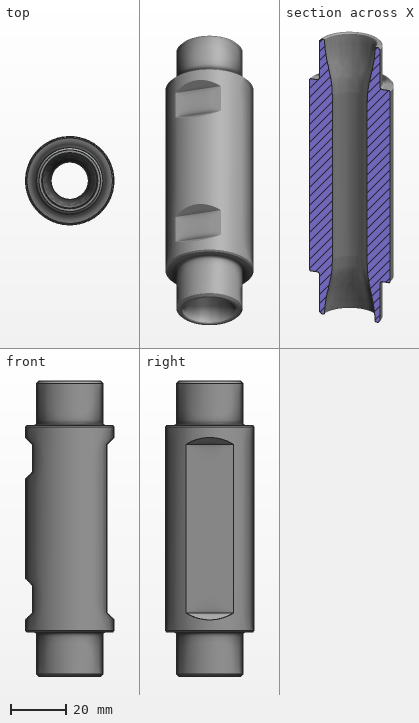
import cadquery as cq
import math

total_length = 107.0
body_diameter = 32.0
body_chamfer = 0.5
spigot_diameter = 24.0
spigot_length = 16.0
spigot_chamfer = 0.9
root_fillet = 0.9

throat_diameter = 13.5
mouth_diameter = 19.7
rim_chamfer = 0.3
flare_length = 21.4

flat_distance = 13.5
short_flat_length = 10.1
flat_inset = 23.0
cut_overrun = 1.1

half_length = total_length / 2
body_radius = body_diameter / 2
spigot_radius = spigot_diameter / 2
flat_end = half_length - flat_inset


def make_spigot():
    """Turn the top spigot, with its root fillet and chamfered rim."""
    shoulder = half_length - spigot_length
    fillet_middle = root_fillet * (1 - math.sqrt(0.5))
    return (
        cq.Workplane("XZ")
        .moveTo(0, shoulder)
        .lineTo(spigot_radius + root_fillet, shoulder)
        .threePointArc(
            (spigot_radius + fillet_middle, shoulder + fillet_middle),
            (spigot_radius, shoulder + root_fillet),
        )
        .lineTo(spigot_radius, half_length - spigot_chamfer)
        .lineTo(spigot_radius - spigot_chamfer, half_length)
        .lineTo(0, half_length)
        .close()
        .revolve(360, (0, 0, 0), (0, 1, 0))
    )


def make_outer():
    """Chamfered cylindrical body with a spigot at each end."""
    body_length = total_length - 2 * spigot_length
    body = cq.Workplane("XY").cylinder(body_length, body_radius).edges("%CIRCLE").chamfer(body_chamfer)
    spigot = make_spigot()
    return body.union(spigot).union(spigot.mirror("XY"))


def make_bore():
    """Turn one half of the bore: throat, flare and rim chamfer, then mirror it."""
    throat_radius = throat_diameter / 2
    mouth_radius = mouth_diameter / 2
    mouth_z = half_length - rim_chamfer
    along_axis = (0, 1)
    half = (
        cq.Workplane("XZ")
        .lineTo(throat_radius, 0)
        .lineTo(throat_radius, mouth_z - flare_length)
        .spline([(mouth_radius, mouth_z)], tangents=[along_axis, along_axis], includeCurrent=True)
        .lineTo(mouth_radius + rim_chamfer, half_length)
        .lineTo(0, half_length)
        .close()
        .revolve(360, (0, 0, 0), (0, 1, 0))
    )
    return half.union(half.mirror("XY"))


def flat_cutter(side, bottom, top):
    """Prism that cuts a flat on the +X (side=1) or -X (side=-1) face."""
    ramp = body_radius - flat_distance + cut_overrun
    return (
        cq.Workplane("XZ")
        .moveTo(side * flat_distance, bottom)
        .lineTo(side * (flat_distance + ramp), bottom - ramp)
        .lineTo(side * (flat_distance + ramp), top + ramp)
        .lineTo(side * flat_distance, top)
        .close()
        .extrude(body_radius, both=True)
    )


result = make_outer().cut(make_bore())

result = result.cut(flat_cutter(1, -flat_end, flat_end))
result = result.cut(flat_cutter(-1, flat_end - short_flat_length, flat_end))
result = result.cut(flat_cutter(-1, -flat_end, short_flat_length - flat_end))